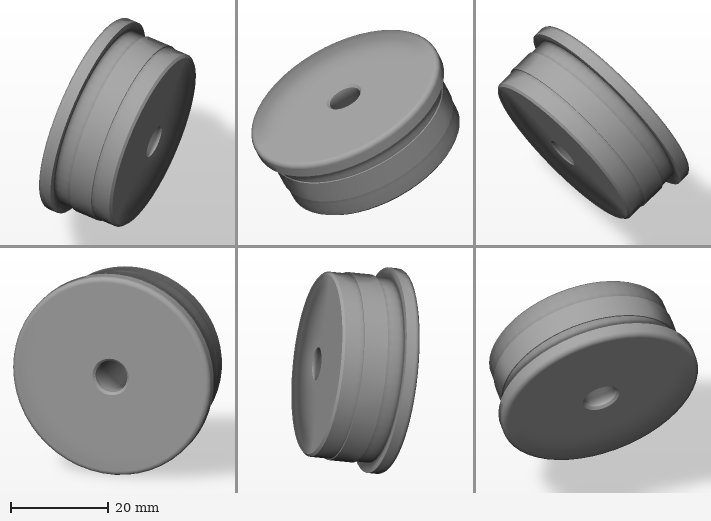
import cadquery as cq

total_length = 16.0

flange_diameter = 42.4
flange_thickness = 3.0
flange_fillet = 1.0

body_diameter = 38.2
body_end_chamfer = 0.5

band_diameter = 38.8
band_start = 6.5
band_width = 5.0

hole_diameter = 6.8
hole_chamfer = 0.5


def disc(diameter, start, length):
    """Solid cylinder along +X, beginning at X = start."""
    return cq.Workplane("YZ", origin=(start, 0, 0)).circle(diameter / 2).extrude(length)


def make_flange():
    return disc(flange_diameter, 0, flange_thickness).faces("<X").edges().fillet(flange_fillet)


def make_body():
    return disc(body_diameter, 0, total_length).faces(">X").edges().chamfer(body_end_chamfer)


def make_band():
    return disc(band_diameter, band_start, band_width)


def cut_hole(plug):
    """Bore the plug through and break the bore's edge at the flange face."""
    bored = plug.cut(disc(hole_diameter, 0, total_length))
    bore_rim = cq.selectors.RadiusNthSelector(0)
    return bored.faces("<X").edges(bore_rim).chamfer(hole_chamfer)


result = cut_hole(make_flange().union(make_body()).union(make_band()))